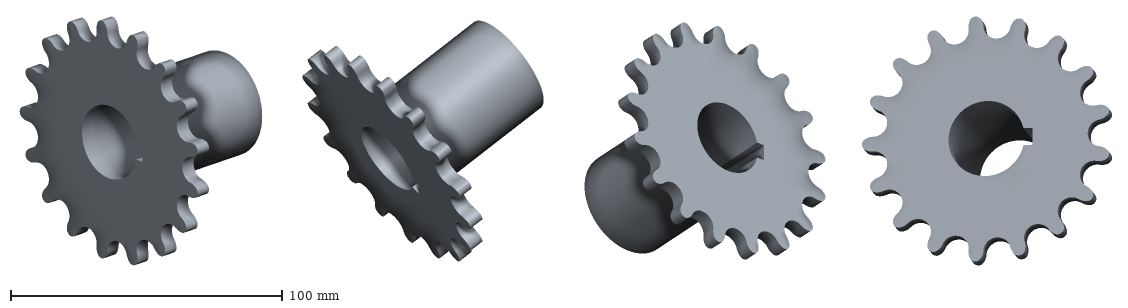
import cadquery as cq
import math

tooth_count = 17
tip_radius = 46.8
root_radius = 38.0
seat_arc_radius = 5.1
flank_arc_radius = 5.5
tip_arc_radius = 2.3

plate_thickness = 5.9
total_length = 59.6
hub_radius = 20.0
hub_fillet = 1.0

bore_radius = 14.3
keyway_width = 6.4
keyway_reach = 17.25

tooth_pitch_angle = 2 * math.pi / tooth_count


def polar(radius, angle):
    return (radius * math.cos(angle), radius * math.sin(angle))


def rotated(point, angle):
    x, z = point
    return (
        x * math.cos(angle) - z * math.sin(angle),
        x * math.sin(angle) + z * math.cos(angle),
    )


def mirrored(point):
    return (point[0], -point[1])


def point_towards(start, target, distance):
    """Point at the given distance from start, on the line through target."""
    scale = distance / math.dist(start, target)
    return (
        start[0] + (target[0] - start[0]) * scale,
        start[1] + (target[1] - start[1]) * scale,
    )


def arc_middle(center, radius, start, end):
    """Middle point of the shorter arc between two points of a circle."""
    chord_middle = ((start[0] + end[0]) / 2, (start[1] + end[1]) / 2)
    return point_towards(center, chord_middle, radius)


def flank_arc_center(seat_center, tip_center):
    """Center of the flank arc, tangent to the seat arc outside and the tip arc inside."""
    seat_distance = seat_arc_radius + flank_arc_radius
    tip_distance = flank_arc_radius - tip_arc_radius
    gap = math.dist(seat_center, tip_center)
    along = (seat_distance**2 - tip_distance**2 + gap**2) / (2 * gap)
    across = math.sqrt(seat_distance**2 - along**2)
    direction_x = (tip_center[0] - seat_center[0]) / gap
    direction_z = (tip_center[1] - seat_center[1]) / gap
    return (
        seat_center[0] + along * direction_x - across * direction_z,
        seat_center[1] + along * direction_z + across * direction_x,
    )


def tooth_outline(plane):
    """Closed outline of all teeth; the first gap is centered on +X."""
    seat_center = (root_radius + seat_arc_radius, 0)
    tip_center = polar(tip_radius - tip_arc_radius, tooth_pitch_angle / 2)
    flank_center = flank_arc_center(seat_center, tip_center)

    seat_end = point_towards(seat_center, flank_center, seat_arc_radius)
    seat_start = mirrored(seat_end)
    seat_middle = (root_radius, 0)
    flank_end = point_towards(flank_center, tip_center, flank_arc_radius)
    flank_middle = arc_middle(flank_center, flank_arc_radius, seat_end, flank_end)
    tip_middle = polar(tip_radius, tooth_pitch_angle / 2)
    far_flank_start = rotated(mirrored(flank_end), tooth_pitch_angle)
    far_flank_middle = rotated(mirrored(flank_middle), tooth_pitch_angle)
    far_flank_end = rotated(seat_start, tooth_pitch_angle)
    arcs = [
        (seat_middle, seat_end),
        (flank_middle, flank_end),
        (tip_middle, far_flank_start),
        (far_flank_middle, far_flank_end),
    ]

    outline = plane.moveTo(*seat_start)
    for tooth in range(tooth_count):
        turn = tooth * tooth_pitch_angle
        for middle, end in arcs:
            outline = outline.threePointArc(rotated(middle, turn), rotated(end, turn))
    return outline.close()


front_face = cq.Workplane("XZ")

plate = tooth_outline(front_face).extrude(-plate_thickness)
hub = front_face.circle(hub_radius).extrude(-total_length)

hub_foot = (
    cq.Workplane("XY")
    .moveTo(hub_radius - hub_fillet, plate_thickness)
    .lineTo(hub_radius + hub_fillet, plate_thickness)
    .radiusArc((hub_radius, plate_thickness + hub_fillet), hub_fillet)
    .lineTo(hub_radius - hub_fillet, plate_thickness + hub_fillet)
    .close()
    .revolve(360, (0, 0, 0), (0, 1, 0))
)

bore = front_face.circle(bore_radius).extrude(-total_length)
keyway = (
    front_face.center(keyway_reach / 2, 0)
    .rect(keyway_reach, keyway_width)
    .extrude(-total_length)
)

result = plate.union(hub).union(hub_foot).cut(bore).cut(keyway)